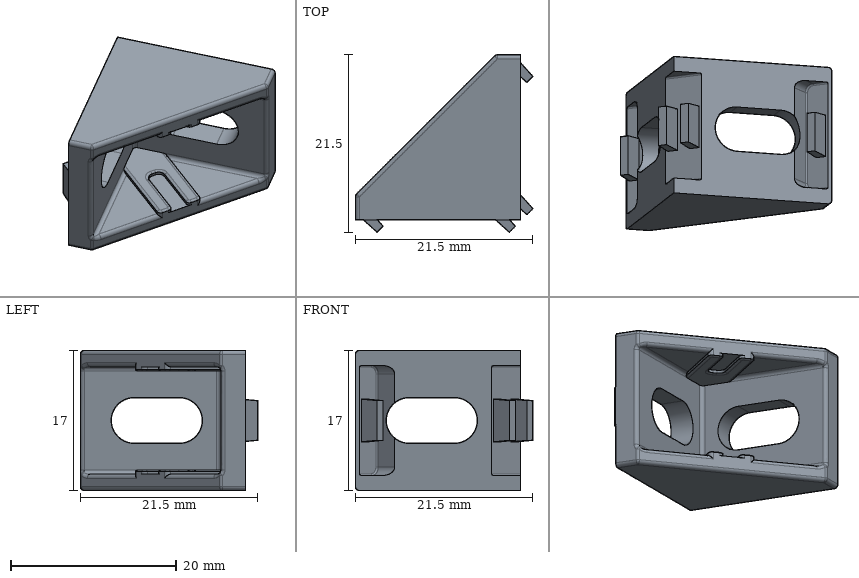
import cadquery as cq
import math

leg = 20.0
height = 17.0
wall = 3.0
cheek = 2.0
edge_radius = 0.5

slot_length = 11.0
slot_height = 5.5
slot_center = 9.25

seat_height = 13.3
seat_depth = 3.0
seat_start = 0.5
seat_pitch = 16.0
seat_corner_radius = 1.0
seat_root_radius = 0.2

lug_offset = 0.32
lug_base = (1.3, 5.15)
lug_tip = (1.05, 4.8)
lug_reach = 1.5

pad_width = 5.8
pad_height = 0.5
groove_width = 2.1
groove_length = 6.8
groove_corner_radius = 0.8
pad_crown_radius = 0.5
pad_side_height = 0.35

mid_z = height / 2
pick_slack = 0.1
margin = 1.0
corner_seat_start = seat_start + seat_pitch


def mirrored_across_corner(shape):
    """The same feature on the other wall."""
    return shape.mirror((1, 1, 0), (leg, 0, 0))


def triangle():
    """Sharp-edged bracket outline over the full height."""
    outline = [(0, 0), (leg, 0), (leg, leg), (leg - wall, leg), (0, wall)]
    return cq.Workplane("XY").polyline(outline).close().extrude(height)


def on_cavity_rim(edge):
    """True for the cavity edges beside the sloping face."""
    point = edge.Center()
    near_slope = point.y - point.x > wall - edge_radius / 2
    inside_walls = point.y > wall - pick_slack and point.x < leg - wall + pick_slack
    inside_cheeks = cheek - pick_slack < point.z < height - cheek + pick_slack
    return near_slope and inside_walls and inside_cheeks


def hollow_body():
    """Walls and cheeks, rounded everywhere but along the two mounting faces."""
    solid = triangle().edges("not (<Y or >X)").fillet(edge_radius)
    cavity = (
        cq.Workplane("XY", origin=(0, 0, cheek))
        .rect(2 * (leg - wall), 2 * leg)
        .extrude(height - 2 * cheek)
        .translate((0, wall + leg, 0))
        .faces(">X or <Y")
        .edges()
        .fillet(edge_radius)
    )
    return solid.cut(cavity).edges().filter(on_cavity_rim).fillet(edge_radius)


def cover_guide():
    """Grooved pad on the inner face of the lower cheek, square to the sloping face."""
    middle = ((leg - wall) / 2, (leg + wall) / 2, cheek / 2)
    run = cq.Plane(origin=middle, xDir=(1, -1, 0), normal=(0, 0, 1))
    pad_length = (leg - wall) / math.sqrt(2) + margin
    block = (
        cq.Workplane(run)
        .center(pad_length / 2, 0)
        .rect(pad_length, pad_width)
        .extrude(cheek / 2 + pad_height)
    )
    groove = (
        cq.Workplane(run)
        .workplane(offset=cheek / 2)
        .rect(2 * groove_length, groove_width)
        .extrude(pad_height)
        .edges("|Z")
        .fillet(groove_corner_radius)
    )
    pad = block.cut(groove).edges("|Z").edges("<(1,-1,0)").fillet(edge_radius)

    rise = pad_crown_radius - (pad_height - pad_side_height)
    overhang = pad_crown_radius - math.sqrt(pad_crown_radius**2 - rise**2)
    crown = (
        pad.faces(">Z")
        .wires()
        .toPending()
        .offset2D(overhang)
        .extrude(-(cheek / 2 + pad_height), combine=False)
        .faces(">Z")
        .edges()
        .fillet(pad_crown_radius)
    )
    foot = cq.Workplane(run).rect(2 * pad_length, pad_width).extrude(cheek / 2)
    return pad.intersect(crown.union(foot))


def wall_slot():
    """Screw slot through the wall along X."""
    return (
        cq.Workplane("XZ", origin=(slot_center, -margin, mid_z))
        .slot2D(slot_length, slot_height)
        .extrude(-(wall + 2 * margin))
    )


def seat_floor(start):
    """Plane of a seat floor: x runs into the wall at 45 degrees, y is up."""
    return cq.Plane(origin=(start, 0, mid_z), xDir=(1, 1, 0), normal=(1, -1, 0))


def end_seat():
    """Cutter for the notch near the free end of the wall along X."""
    return (
        cq.Workplane(seat_floor(seat_start))
        .center(seat_depth / 2, 0)
        .rect(seat_depth, seat_height)
        .extrude(seat_depth + margin)
        .edges("|(1,-1,0)")
        .edges(">X")
        .fillet(seat_corner_radius)
        .faces("<(1,-1,0)")
        .edges("not <X")
        .fillet(seat_root_radius)
    )


def corner_seat():
    """Cutter that takes off the outer corner between the cheeks."""
    span = (leg - corner_seat_start) * math.sqrt(2)
    return (
        cq.Workplane(seat_floor(corner_seat_start))
        .center(span / 2, 0)
        .rect(span + 2 * margin, seat_height)
        .extrude(span)
        .edges("|(1,1,0)")
        .edges("<X")
        .fillet(seat_root_radius)
    )


def lug(start):
    """Tapered lug on the seat that begins at the given place on the wall along X."""
    middle = lug_offset + lug_base[0] / 2
    near_side = middle - lug_tip[0] / 2
    length = near_side + lug_reach * math.sqrt(2)
    return (
        cq.Workplane(seat_floor(start))
        .center(middle, 0)
        .rect(*lug_base)
        .workplane(offset=length)
        .rect(*lug_tip)
        .loft()
    )


guide = cover_guide()
result = hollow_body().union(guide).union(guide.mirror("XY", (0, 0, mid_z)))

for cutter in (wall_slot(), end_seat()):
    result = result.cut(cutter).cut(mirrored_across_corner(cutter))
result = result.cut(corner_seat())

for start in (seat_start, corner_seat_start):
    result = result.union(lug(start)).union(mirrored_across_corner(lug(start)))